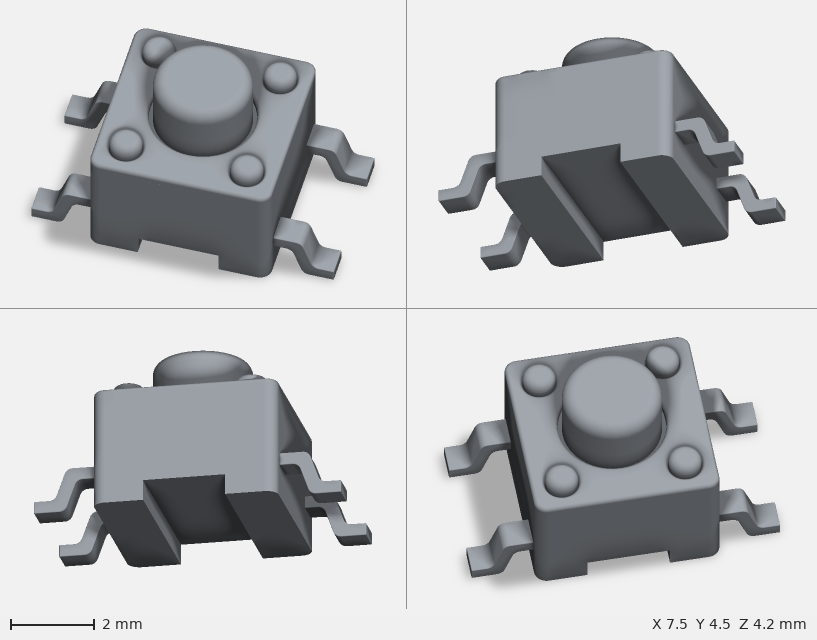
import cadquery as cq
import math

body_width = 4.5
corner_radius = 0.3
housing_height = 2.7
channel_width = 2.0
channel_height = 0.5

cover_thickness = 0.2
cover_edge_radius = 0.1
cover_top = housing_height + cover_thickness

button_diameter = 2.4
button_hole_diameter = 2.6
button_top = 4.2
button_edge_radius = 0.3

peg_diameter = 0.8
peg_protrusion = 0.3
peg_edge_radius = 0.2
corner_offset = 1.5

lead_span = 7.5
lead_width = 0.7
lead_thickness = 0.3
lead_top = 1.095
lead_slope = 70.0
lead_bend_radius = 0.2
lead_edge_radius = 0.02
foot_top_length = 0.51
foot_sole_length = 0.76

corners = [(sx * corner_offset, sy * corner_offset) for sx in (-1, 1) for sy in (-1, 1)]


def rounded_square(bottom, height):
    """Square prism with rounded vertical corners, standing on the level `bottom`."""
    block = cq.Workplane("XY").workplane(offset=bottom).rect(body_width, body_width).extrude(height)
    return block.edges("|Z").fillet(corner_radius)


def domed_cylinder(diameter, bottom, top, edge_radius):
    """Upright cylinder on the Z axis with a rounded upper rim."""
    cylinder = cq.Workplane("XY").workplane(offset=bottom).circle(diameter / 2).extrude(top - bottom)
    return cylinder.faces(">Z").edges().fillet(edge_radius)


def make_housing():
    """Block whose channel runs right through along Y, carrying the button on its top."""
    channel = cq.Workplane("XY").box(
        channel_width, body_width, channel_height, centered=(True, True, False)
    )
    button = domed_cylinder(button_diameter, housing_height, button_top, button_edge_radius)
    return rounded_square(0, housing_height).cut(channel).union(button)


def make_cover():
    """Plate with the button hole and the four peg holes."""
    plate = rounded_square(housing_height, cover_thickness)
    plate = plate.faces(">Z").workplane(origin=(0, 0, cover_top)).hole(button_hole_diameter)
    plate = plate.faces(">Z").workplane(origin=(0, 0, cover_top)).pushPoints(corners).hole(peg_diameter)
    return plate.faces(">Z").edges().fillet(cover_edge_radius)


def make_peg(x, y):
    """Rivet standing on the housing and filling its hole in the cover."""
    peg = domed_cylinder(peg_diameter, housing_height, cover_top + peg_protrusion, peg_edge_radius)
    return peg.translate((x, y, 0))


def make_right_lead():
    """Lead on the +X side, centred on Y = 0, with its end flat against the housing wall."""
    wall = body_width / 2
    tip = lead_span / 2
    rise = lead_top - lead_thickness
    run = rise / math.tan(math.radians(lead_slope))
    upper_foot = tip - foot_top_length
    lower_foot = tip - foot_sole_length
    outline = [
        (wall, lead_top),
        (upper_foot - run, lead_top),
        (upper_foot, lead_thickness),
        (tip, lead_thickness),
        (tip, 0),
        (lower_foot, 0),
        (lower_foot - run, rise),
        (wall, rise),
    ]
    strip = cq.Workplane("XZ").polyline(outline).close().extrude(lead_width / 2, both=True)
    bends = strip.edges("|Y").edges("not(<X or >X)")
    strip = bends.fillet(lead_bend_radius)
    return strip.faces("<Y or >Y or >X").edges("not <X").fillet(lead_edge_radius)


def make_lead(side, y):
    """Lead at the position `y` along the wall; `side` is 1 for +X and -1 for -X."""
    lead = make_right_lead()
    if side < 0:
        lead = lead.mirror("YZ")
    return lead.translate((0, y, 0))


housing = make_housing()
cover = make_cover()
pegs = [make_peg(x, y) for x, y in corners]
leads = [make_lead(side, y) for side in (-1, 1) for y in (-corner_offset, corner_offset)]

result = cq.Compound.makeCompound(
    [housing.val(), cover.val()]
    + [peg.val() for peg in pegs]
    + [lead.val() for lead in leads]
)